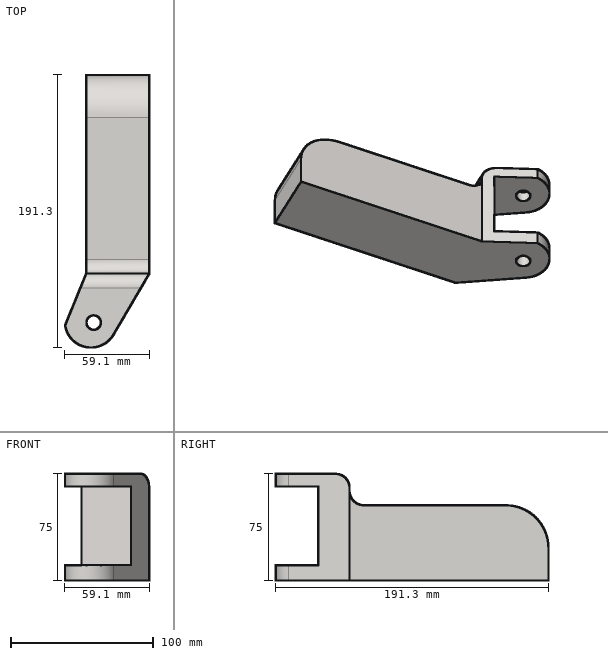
import cadquery as cq
import math

length = 191.3
height = 75.0
body_width = 44.4
body_height = 53.0
bend_y = 51.8
rear_radius = 30.0
step_radius = 10.0

lug_corner = (-14.7, 15.7)
lug_arc_x = 3.5
hole_center = (5.4, 17.6)
hole_diameter = 10.0

slot_floor = 10.9
slot_ceiling = 66.0
slot_side_depth = 8.6

left_bend = (0, bend_y)
right_bend = (body_width, bend_y)

corner_offset = lug_arc_x - lug_corner[0]
lug_radius = (corner_offset**2 + lug_corner[1]**2) / (2 * lug_corner[1])


def tangent_point():
    """Point where the right clevis edge runs tangent into the lug arc."""
    dx = right_bend[0] - lug_arc_x
    dy = right_bend[1] - lug_radius
    angle = math.atan2(dy, dx) - math.acos(lug_radius / math.hypot(dx, dy))
    return (
        lug_arc_x + lug_radius * math.cos(angle),
        lug_radius + lug_radius * math.sin(angle),
    )


def make_body():
    """Long body with a rounded rear end and a concave curve up to the clevis."""
    return (
        cq.Workplane("YZ")
        .moveTo(bend_y, 0)
        .lineTo(length, 0)
        .lineTo(length, body_height - rear_radius)
        .radiusArc((length - rear_radius, body_height), -rear_radius)
        .lineTo(bend_y + step_radius, body_height)
        .radiusArc((bend_y, body_height + step_radius), step_radius)
        .close()
        .extrude(body_width)
    )


def make_clevis():
    """Angled block with a round end and a rounded upper edge at the bend."""
    block = (
        cq.Workplane("XY")
        .moveTo(*right_bend)
        .lineTo(*left_bend)
        .lineTo(*lug_corner)
        .threePointArc((lug_arc_x, 0), tangent_point())
        .close()
        .extrude(height)
    )
    bend_edge = cq.selectors.NearestToPointSelector((body_width / 2, bend_y, height))
    return block.edges(bend_edge).fillet(step_radius)


def make_slot():
    """Cutter between the lugs; its back wall is square to the left clevis edge."""
    edge_x = lug_corner[0] - left_bend[0]
    edge_y = lug_corner[1] - left_bend[1]
    edge_length = math.hypot(edge_x, edge_y)
    along = cq.Vector(edge_x / edge_length, edge_y / edge_length, 0)
    back_wall_point = cq.Vector(*left_bend, slot_floor) + along * slot_side_depth
    cutter_size = 2 * length
    plane = cq.Plane(origin=back_wall_point, xDir=along, normal=(0, 0, 1))
    return (
        cq.Workplane(plane)
        .rect(cutter_size, cutter_size)
        .extrude(slot_ceiling - slot_floor)
        .translate(along * (cutter_size / 2))
    )


pin_hole = (
    cq.Workplane("XY")
    .center(*hole_center)
    .circle(hole_diameter / 2)
    .extrude(height)
)

clevis = make_clevis().cut(make_slot()).cut(pin_hole)
result = make_body().union(clevis)